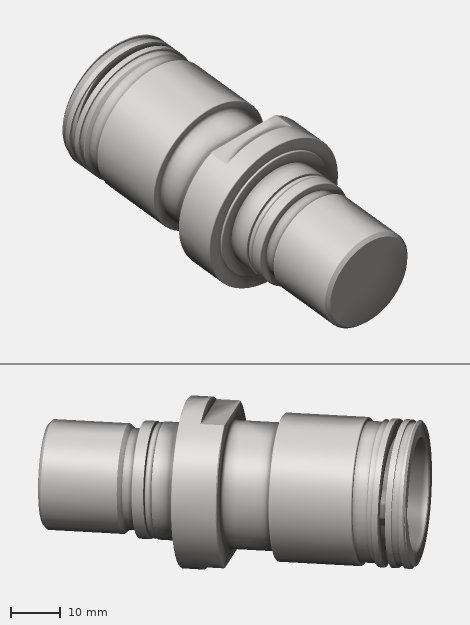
import cadquery as cq
import math

LENGTH = 75.8
BODY_R = 30.0 / 2
RELIEF_R = 28.5 / 2
NECK_R = 25.9 / 2
FLANGE_R = 34.8 / 2
RIM_R = 29.0 / 2
LAND_R = 23.8 / 2
UNDERCUT_R = 20.5 / 2
TAIL_R = 22.3 / 2

THREAD_END = 7.95
BODY_START = 10.85
BODY_END = 27.9
FLANGE_START = 38.0
FLANGE_END = 47.4
RIM_END = 47.8
LAND_END = 56.5
UNDERCUT_END = 58.7

END_CHAMFER = 0.45
RELIEF_CHAMFER = BODY_R - RELIEF_R
TAIL_CHAMFER = 0.75
EDGE_ROUND = 0.25
NECK_FILLET = 0.5

FLAT_OFFSET = BODY_R
FLAT_END = 42.9

THREAD_PITCH = 2.7
THREAD_GROOVE_WIDTH = 1.5
THREAD_ROOT_R = 29.0 / 2
SLOT_START = 3.4
GROOVE_LEAD_TURNS = 2
GROOVE_TURNS = 4
CUT_CLEARANCE = 0.75
RUN_OUT_TAPER = 1.4

BORE_R = 23.0 / 2
BORE_DEPTH = 4.2
KEY_TIP_R = 25.2 / 2
KEY_TIP_HALF_WIDTH = 1.45
KEY_BASE_HALF_WIDTH = 3.5
KEY_ROOT_ROUND = 2.3
KEY_TIP_ROUND = 1.1
MOUTH_CHAMFER = 0.19
SLOT_WALL = 0.11

ORING_R = 23.5 / 2
ORING_GROOVE_R = 20.5 / 2
ORING_TUBE_R = (ORING_R - ORING_GROOVE_R) / 2
ORING_GROOVE_START = 52.4
ORING_GROOVE_WIDTH = 1.7


def cylinder(radius, start, end):
    return cq.Workplane("YZ", origin=(start, 0, 0)).circle(radius).extrude(end - start)


def turned_blank():
    undercut_cone = TAIL_R - UNDERCUT_R
    outline = [
        (0, 0),
        (0, BODY_R - END_CHAMFER),
        (END_CHAMFER, BODY_R),
        (THREAD_END - RELIEF_CHAMFER, BODY_R),
        (THREAD_END, RELIEF_R),
        (BODY_START, RELIEF_R),
        (BODY_START, BODY_R),
        (BODY_END, BODY_R),
        (BODY_END, NECK_R),
        (FLANGE_START, NECK_R),
        (FLANGE_START, FLANGE_R),
        (FLANGE_END, FLANGE_R),
        (FLANGE_END, RIM_R),
        (RIM_END, RIM_R),
        (RIM_END, LAND_R),
        (LAND_END, LAND_R),
        (LAND_END, UNDERCUT_R),
        (UNDERCUT_END, UNDERCUT_R),
        (UNDERCUT_END + undercut_cone, TAIL_R),
        (LENGTH - TAIL_CHAMFER, TAIL_R),
        (LENGTH, TAIL_R - TAIL_CHAMFER),
        (LENGTH, 0),
    ]
    return cq.Workplane("XY").polyline(outline).close().revolve(360, (0, 0, 0), (1, 0, 0))


def round_circle_at(solid, x, radius, size):
    edge_box = cq.selectors.BoxSelector(
        (x - 0.01, -radius - 0.01, -radius - 0.01),
        (x + 0.01, radius + 0.01, radius + 0.01),
        boundingbox=True,
    )
    edges = [e for e in solid.edges("%CIRCLE").edges(edge_box).vals() if abs(e.radius() - radius) < 0.01]
    return solid.newObject(edges).fillet(size)


def wrench_flats():
    height = FLANGE_R
    block = cq.Workplane("XY").box(
        FLAT_END - FLANGE_START, 2 * FLANGE_R, height, centered=(False, True, False)
    )
    upper = block.translate((FLANGE_START, 0, FLAT_OFFSET))
    return upper.union(upper.mirror("XY"))


def helical_band(start_x, turns, inner_r, outer_r):
    """Left-handed helical band about X, starting on the -Y side."""
    helix = cq.Wire.makeHelix(THREAD_PITCH, turns * THREAD_PITCH, inner_r, lefthand=True)
    band = (
        cq.Workplane("XZ")
        .center((inner_r + outer_r) / 2, 0)
        .rect(outer_r - inner_r, THREAD_GROOVE_WIDTH)
        .sweep(helix, isFrenet=True)
    )
    along_x = band.rotate((0, 0, 0), (0, 1, 0), 90).rotate((0, 0, 0), (1, 0, 0), -90)
    return along_x.translate((start_x, 0, 0))


def keyed_prism(start, end, growth=0):
    """Round prism with a tapered, rounded key on the +Y side, grown outward all round."""
    round_r = BORE_R + growth
    tip_r = KEY_TIP_R + growth
    base_half_width = KEY_BASE_HALF_WIDTH + growth
    tip_half_width = KEY_TIP_HALF_WIDTH + growth
    base_y = math.sqrt(round_r**2 - base_half_width**2)
    tip_y = math.sqrt(tip_r**2 - tip_half_width**2)
    prism = (
        cq.Workplane("YZ", origin=(start, 0, 0))
        .moveTo(base_y, -base_half_width)
        .lineTo(tip_y, -tip_half_width)
        .threePointArc((tip_r, 0), (tip_y, tip_half_width))
        .lineTo(base_y, base_half_width)
        .threePointArc((-round_r, 0), (base_y, -base_half_width))
        .close()
        .extrude(end - start)
    )
    middle_y = (base_y + tip_y) / 2
    corners = prism.edges("|X")
    tip_edges = [e for e in corners.vals() if e.Center().y > middle_y]
    prism = prism.newObject(tip_edges).fillet(KEY_TIP_ROUND)
    root_edges = [e for e in prism.edges("|X").vals() if abs(abs(e.Center().z) - base_half_width) < 0.01]
    return prism.newObject(root_edges).fillet(KEY_ROOT_ROUND)


def bore_mouth():
    """Conical chamfer of the round part of the bore."""
    outline = [(0, 0), (0, BORE_R + MOUTH_CHAMFER), (MOUTH_CHAMFER, BORE_R), (MOUTH_CHAMFER, 0)]
    return cq.Workplane("XY").polyline(outline).close().revolve(360, (0, 0, 0), (1, 0, 0))


def slot_run_outs():
    """Two flat-sided wedges, half a turn apart, that narrow the deep slot to nothing at the -Y side."""
    half_width = THREAD_GROOVE_WIDTH / 2
    outer = BODY_R + CUT_CLEARANCE
    first_end = SLOT_START + half_width
    wedge = (
        cq.Workplane("XZ")
        .polyline([(0, 0), (first_end, 0), (first_end - RUN_OUT_TAPER, outer), (0, outer)])
        .close()
        .extrude(outer)
    )
    slot_middle = SLOT_START + THREAD_PITCH / 2
    opposite = wedge.rotate((slot_middle, 0, 0), (slot_middle, 1, 0), 180)
    return wedge.union(opposite)


def make_housing():
    housing = turned_blank()
    for x, radius in (
        (BODY_START, BODY_R),
        (BODY_END, BODY_R),
        (FLANGE_START, FLANGE_R),
        (FLANGE_END, FLANGE_R),
        (RIM_END, RIM_R),
        (LAND_END, LAND_R),
    ):
        housing = round_circle_at(housing, x, radius, EDGE_ROUND)
    for x in (BODY_END, FLANGE_START):
        housing = round_circle_at(housing, x, NECK_R, NECK_FILLET)
    housing = housing.cut(wrench_flats())

    outer_r = BODY_R + CUT_CLEARANCE
    for turn in range(GROOVE_TURNS):
        turn_start = SLOT_START + (turn - GROOVE_LEAD_TURNS) * THREAD_PITCH
        housing = housing.cut(helical_band(turn_start, 1, THREAD_ROOT_R, outer_r))
    slot = helical_band(SLOT_START, 1, BORE_R, outer_r)
    slot = slot.cut(keyed_prism(0, BODY_START, SLOT_WALL)).cut(slot_run_outs())
    housing = housing.cut(slot)
    housing = housing.cut(keyed_prism(0, BORE_DEPTH)).cut(bore_mouth())

    groove_end = ORING_GROOVE_START + ORING_GROOVE_WIDTH
    ring_groove = cylinder(FLANGE_R, ORING_GROOVE_START, groove_end).cut(
        cylinder(ORING_GROOVE_R, ORING_GROOVE_START, groove_end)
    )
    return housing.cut(ring_groove)


def make_oring():
    """O-ring seated on the groove floor and against the groove's left wall."""
    centre_r = ORING_GROOVE_R + ORING_TUBE_R
    ring = cq.Solid.makeTorus(centre_r, ORING_TUBE_R, cq.Vector(0, 0, 0), cq.Vector(1, 0, 0))
    return cq.Workplane(ring).translate((ORING_GROOVE_START + ORING_TUBE_R, 0, 0))


housing = make_housing()
oring = make_oring()

result = cq.Compound.makeCompound([housing.val(), oring.val()])